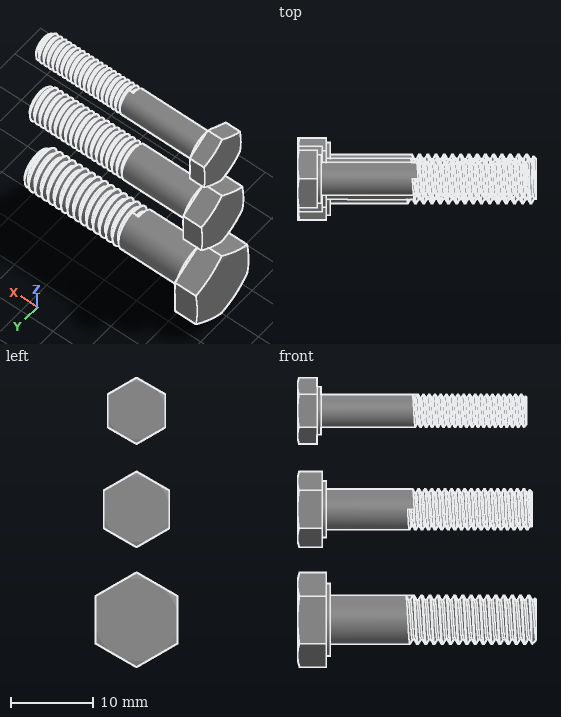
import cadquery as cq
import math

SHANK_LENGTH = 25.02
WASHER_THICKNESS = 0.5
HEAD_BEVEL_ANGLE = 15.0
FLANK_ANGLE = 30.0
GROOVE_FLOOR = 1 / 4
CUTTER_OVERRUN = 0.05

BOLTS = [
    dict(diameter=4.0, flats=7.0, head_height=2.35, washer_diameter=5.9, axis_z=31.2,
         thread_length=13.65, thread_turns=19.5, start_angle=0),
    dict(diameter=5.0, flats=8.0, head_height=3.0, washer_diameter=6.9, axis_z=19.2,
         thread_length=14.8, thread_turns=18.5, start_angle=90),
    dict(diameter=6.0, flats=10.0, head_height=3.5, washer_diameter=8.88, axis_z=5.78,
         thread_length=15.45, thread_turns=15.4, start_angle=0),
]


def thread_depth(pitch):
    """Depth of the groove, five eighths of the sharp triangle's height."""
    return 5 / 8 * pitch / 2 / math.tan(math.radians(FLANK_ANGLE))


def make_head(flats, head_height):
    """Hexagonal head rising from x = 0, corners on +Z and -Z, with its outer corners bevelled."""
    corner_radius = flats / math.sqrt(3)
    bevel = (corner_radius - flats / 2) * math.tan(math.radians(HEAD_BEVEL_ANGLE))
    prism = (
        cq.Workplane("YZ")
        .polygon(6, 2 * corner_radius)
        .extrude(head_height)
        .rotate((0, 0, 0), (1, 0, 0), 90)
    )
    envelope = (
        cq.Workplane("XZ")
        .polyline([
            (0, 0),
            (0, flats / 2),
            (bevel, corner_radius),
            (head_height, corner_radius),
            (head_height, 0),
        ])
        .close()
        .revolve(360, (0, 0, 0), (1, 0, 0))
    )
    return prism.intersect(envelope)


def make_shank(diameter, pitch, washer_diameter):
    """Washer face and plain shank from x = 0 along X, chamfered at the tip down to the thread root."""
    tip = WASHER_THICKNESS + SHANK_LENGTH
    radius = diameter / 2
    chamfer = thread_depth(pitch)
    return (
        cq.Workplane("XZ")
        .polyline([
            (0, 0),
            (0, washer_diameter / 2),
            (WASHER_THICKNESS, washer_diameter / 2),
            (WASHER_THICKNESS, radius),
            (tip - chamfer, radius),
            (tip, radius - chamfer),
            (tip, 0),
        ])
        .close()
        .revolve(360, (0, 0, 0), (1, 0, 0))
    )


def make_thread_cutter(diameter, pitch, turns):
    """Right-handed helical groove about +Z, its starting end centred on +X at z = 0."""
    root_radius = diameter / 2 - thread_depth(pitch)
    outer_radius = diameter / 2 + CUTTER_OVERRUN
    half_floor = GROOVE_FLOOR * pitch / 2
    half_mouth = half_floor + (outer_radius - root_radius) * math.tan(math.radians(FLANK_ANGLE))
    corners = [
        (outer_radius, -half_mouth),
        (root_radius, -half_floor),
        (root_radius, half_floor),
        (outer_radius, half_mouth),
    ]

    faces = []
    for turn in range(turns):
        helices = []
        for radius, z in corners:
            start = cq.Vector(0, 0, z + turn * pitch)
            helices.append(cq.Wire.makeHelix(pitch, pitch, radius, center=start).Edges()[0])
        for i in range(len(helices)):
            faces.append(cq.Face.makeRuledSurface(helices[i - 1], helices[i]))

    for end_z in (0, turns * pitch):
        outline = [cq.Vector(radius, 0, z + end_z) for radius, z in corners]
        faces.append(cq.Face.makeFromWires(cq.Wire.makePolygon(outline, close=True)))

    return cq.Workplane(cq.Solid.makeSolid(cq.Shell.makeShell(faces)))


def make_bolt(diameter, flats, head_height, washer_diameter, axis_z,
              thread_length, thread_turns, start_angle):
    """Bolt lying along X with the outer face of its head at x = 0."""
    pitch = thread_length / thread_turns
    tip = head_height + WASHER_THICKNESS + SHANK_LENGTH
    cutter_turns = math.ceil(thread_turns) + 1
    cutter = (
        make_thread_cutter(diameter, pitch, cutter_turns)
        .rotate((0, 0, 0), (0, 1, 0), 90)
        .rotate((0, 0, 0), (1, 0, 0), 180 + start_angle)
        .translate((tip - thread_length, 0, 0))
    )
    shank = (
        make_shank(diameter, pitch, washer_diameter)
        .translate((head_height, 0, 0))
        .cut(cutter, clean=False)
    )
    bolt = make_head(flats, head_height).union(shank, clean=False)
    return bolt.translate((0, 0, axis_z)).solids()


bolts = [make_bolt(**sizes) for sizes in BOLTS]
result = cq.Compound.makeCompound([bolt.val() for bolt in bolts])